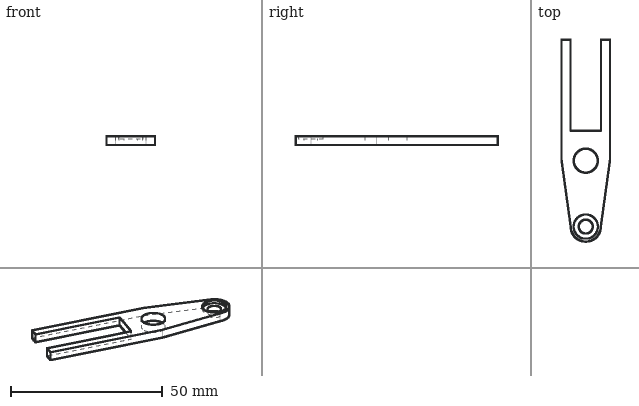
import cadquery as cq

length = 66.75
width = 16.0
thickness = 3.0

tip_radius = 5.0
tip_hole_diameter = 4.55
counterbore_diameter = 8.0
counterbore_depth = 1.0

arm_width = 3.0
slot_depth = 30.05
straight_length = 40.0
pivot_hole_diameter = 7.9

fork_end_y = length - tip_radius
shoulder_y = fork_end_y - straight_length
slot_bottom_y = fork_end_y - slot_depth
half_width = width / 2
slot_half_width = half_width - arm_width


def make_plate():
    """Forked plate that tapers to a rounded tip."""
    return (
        cq.Workplane("XY")
        .moveTo(-tip_radius, 0)
        .threePointArc((0, -tip_radius), (tip_radius, 0))
        .lineTo(half_width, shoulder_y)
        .lineTo(half_width, fork_end_y)
        .lineTo(slot_half_width, fork_end_y)
        .lineTo(slot_half_width, slot_bottom_y)
        .lineTo(-slot_half_width, slot_bottom_y)
        .lineTo(-slot_half_width, fork_end_y)
        .lineTo(-half_width, fork_end_y)
        .lineTo(-half_width, shoulder_y)
        .close()
        .extrude(thickness)
    )


def cut_holes(plate):
    """Counterbored hole in the tip and a plain hole level with the shoulders."""
    top = plate.faces(">Z").workplane(origin=(0, 0, thickness))
    plate = top.cboreHole(tip_hole_diameter, counterbore_diameter, counterbore_depth)
    top = plate.faces(">Z").workplane(origin=(0, shoulder_y, thickness))
    return top.hole(pivot_hole_diameter)


result = cut_holes(make_plate())